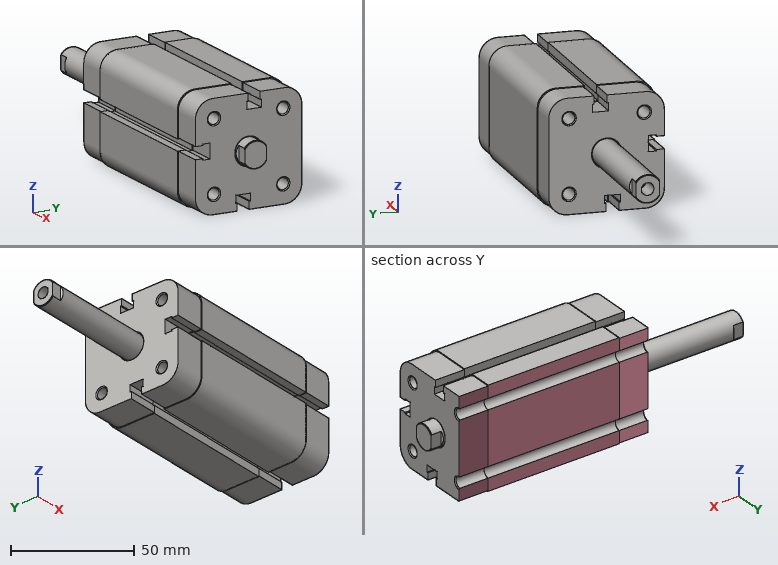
import cadquery as cq

OVERALL_LENGTH = 156.5
ROD_FRONT_REACH = 55.7
ROD_REAR_REACH = 6.0
CAP_LENGTH = 14.5
ROD_FRONT_X = -OVERALL_LENGTH / 2
FRONT_CAP_X = ROD_FRONT_X + ROD_FRONT_REACH
TUBE_X = FRONT_CAP_X + CAP_LENGTH
REAR_FACE_X = OVERALL_LENGTH / 2 - ROD_REAR_REACH
REAR_CAP_X = REAR_FACE_X - CAP_LENGTH
TUBE_LENGTH = REAR_CAP_X - TUBE_X

TUBE_WIDTH = 50.0
CAP_INSET = 0.39
CORNER_RADIUS = 8.0

SLOT_EDGE = -0.23
MOUTH_WIDTH = 5.2
CHANNEL_LIP = 0.6
CHANNEL_TOP = 21.1
CHANNEL_FLOOR = 18.2
SLOT_ANGLES = (0, 90, 180)

BOLT_SPACING = 32.0
BOLT_HOLE_DIAMETER = 5.2
BOLT_COUNTERSINK = 0.5

ROD_DIAMETER = 12.0
ROD_BORE_CHAMFER = 0.39
ROD_END_CHAMFER = 0.3
FLAT_LENGTH = 5.0
FLAT_WIDTH = 10.0
FLAT_RUNOUT = 0.5
THREAD_HOLE_DIAMETER = 5.3
THREAD_HOLE_DEPTH = 11.0
DRILL_TIP_DEPTH = 1.4

RADIUS_TOLERANCE = 0.02


def yz_plane(x):
    """Cross-section plane at x, with its normal along +X."""
    return cq.Workplane("YZ", origin=(x, 0, 0))


def slot_cutter(x, length, clearance):
    """Stepped slot open towards +Z, widened and deepened by the clearance."""
    mouth_far = SLOT_EDGE + MOUTH_WIDTH + clearance
    channel_near = SLOT_EDGE - CHANNEL_LIP
    channel_far = mouth_far + CHANNEL_LIP
    floor = CHANNEL_FLOOR - clearance
    outline = [
        (SLOT_EDGE, TUBE_WIDTH),
        (SLOT_EDGE, CHANNEL_TOP),
        (channel_near, CHANNEL_TOP),
        (channel_near, floor),
        (channel_far, floor),
        (channel_far, CHANNEL_TOP),
        (mouth_far, CHANNEL_TOP),
        (mouth_far, TUBE_WIDTH),
    ]
    return yz_plane(x).polyline(outline).close().extrude(length)


def slotted_block(x, length, inset):
    """Rounded square prism with sensor slots and bolt holes, set in from the tube profile."""
    width = TUBE_WIDTH - 2 * inset
    block = yz_plane(x).rect(width, width).extrude(length).edges("|X").fillet(CORNER_RADIUS)
    slot = slot_cutter(x, length, inset)
    for angle in SLOT_ANGLES:
        block = block.cut(slot.rotate((0, 0, 0), (1, 0, 0), angle))
    bolt_holes = (
        yz_plane(x)
        .rect(BOLT_SPACING, BOLT_SPACING, forConstruction=True)
        .vertices()
        .circle(BOLT_HOLE_DIAMETER / 2)
        .extrude(length)
    )
    return block.cut(bolt_holes)


def make_tube():
    """Middle profile between the caps, bored for the rod."""
    bore = yz_plane(TUBE_X).circle(ROD_DIAMETER / 2).extrude(TUBE_LENGTH)
    return slotted_block(TUBE_X, TUBE_LENGTH, 0).cut(bore)


def chamfer_holes(body, face, diameter, size):
    """Chamfer every hole of the given diameter where it opens on the given face."""
    circles = body.faces(face).edges("%CIRCLE")
    rims = [rim for rim in circles.vals() if abs(rim.radius() - diameter / 2) < RADIUS_TOLERANCE]
    return body.newObject(rims).chamfer(size)


def make_cap(x, outer_face):
    """End cap with countersunk bolt holes and a chamfered rod bore on its outer face."""
    bore = yz_plane(x).circle(ROD_DIAMETER / 2).extrude(CAP_LENGTH)
    cap = slotted_block(x, CAP_LENGTH, CAP_INSET).cut(bore)
    cap = chamfer_holes(cap, outer_face, BOLT_HOLE_DIAMETER, BOLT_COUNTERSINK)
    return chamfer_holes(cap, outer_face, ROD_DIAMETER, ROD_BORE_CHAMFER)


def flat_cutter(side):
    """Wedge-ended cutter for one front wrench flat; side is +1 or -1 along Y."""
    floor_y = FLAT_WIDTH / 2
    surface_y = ROD_DIAMETER / 2
    flat_end_x = ROD_FRONT_X + FLAT_LENGTH
    outline = [
        (ROD_FRONT_X, side * floor_y),
        (flat_end_x, side * floor_y),
        (flat_end_x + FLAT_RUNOUT, side * surface_y),
        (ROD_FRONT_X, side * surface_y),
    ]
    return cq.Workplane("XY").polyline(outline).close().extrude(ROD_DIAMETER / 2, both=True)


def thread_hole():
    """Blind hole with a conical drill tip, opening on the front end of the rod."""
    radius = THREAD_HOLE_DIAMETER / 2
    full_depth_x = ROD_FRONT_X + THREAD_HOLE_DEPTH
    half_profile = [
        (ROD_FRONT_X, 0),
        (ROD_FRONT_X, radius),
        (full_depth_x, radius),
        (full_depth_x + DRILL_TIP_DEPTH, 0),
    ]
    return cq.Workplane("XY").polyline(half_profile).close().revolve(360, (0, 0, 0), (1, 0, 0))


def make_rod():
    """Through rod with wrench flats at both ends and a thread hole in the front end."""
    rod = yz_plane(ROD_FRONT_X).circle(ROD_DIAMETER / 2).extrude(OVERALL_LENGTH)
    rod = rod.faces("<X or >X").chamfer(ROD_END_CHAMFER)
    for side in (1, -1):
        front_flat = flat_cutter(side)
        rear_flat = front_flat.mirror("YZ")
        rod = rod.cut(front_flat).cut(rear_flat)
    return rod.cut(thread_hole())


front_cap = make_cap(FRONT_CAP_X, "<X")
tube = make_tube()
rear_cap = make_cap(REAR_CAP_X, ">X")
rod = make_rod()

result = cq.Compound.makeCompound([front_cap.val(), tube.val(), rear_cap.val(), rod.val()])